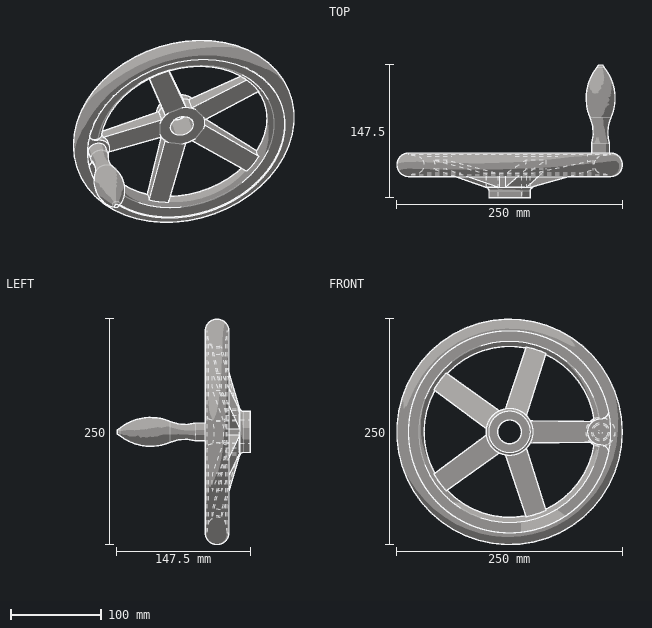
import cadquery as cq
import math

wheel_radius = 125.0
rim_seam_radius = 112.0
rim_mid_y = 36.8
rim_half_width = 13.2
rim_front_y = rim_mid_y - rim_half_width
rim_back_y = rim_mid_y + rim_half_width

rim_step_depth = 2.0
rim_cone_radius = 100.5
rim_cone_depth = 2.0
rim_core_front_y = rim_front_y + rim_step_depth
rim_core_back_y = rim_back_y - rim_step_depth
rim_inner_radius = 94.5

bore_radius = 26.0 / 2
hub_front_radius = 46.0 / 2
hub_radius = 26.0
hub_collar_length = 7.8
hub_flare_end_y = 11.5
hub_back_y = 27.0

spoke_count = 5
spoke_root_radius = 20.0
spoke_tip_radius = 97.5
spoke_root_width = 24.8
spoke_tip_width = 23.2
spoke_root_front_y = 10.8
spoke_tip_front_y = 32.5
spoke_root_back_y = 26.0
spoke_tip_back_y = 42.5

handle_x = 100.8
boss_radius = 14.2
boss_flare_radius = 9.0

handle_collar_radius = 20.0 / 2
handle_collar_end_y = 60.5
neck_y = 72.0
neck_radius = 8.2
grip_start_y = 89.0
grip_start_radius = 11.8
grip_peak_y = 111.8
grip_peak_radius = 16.2
grip_end_y = 144.5
grip_end_radius = 4.2
handle_end_y = 147.5
handle_tip_radius = 2.2


def revolve_about_y(profile):
    return profile.close().revolve(360, (0, 0, 0), (0, 1, 0))


def make_rim():
    profile = (
        cq.Workplane("XY")
        .moveTo(rim_seam_radius, rim_front_y)
        .threePointArc((wheel_radius, rim_mid_y), (rim_seam_radius, rim_back_y))
        .lineTo(rim_seam_radius, rim_core_back_y)
        .lineTo(rim_cone_radius, rim_core_back_y - rim_cone_depth)
        .threePointArc(
            (rim_inner_radius, rim_mid_y),
            (rim_cone_radius, rim_core_front_y + rim_cone_depth),
        )
        .lineTo(rim_seam_radius, rim_core_front_y)
    )
    return revolve_about_y(profile)


def make_hub():
    profile = (
        cq.Workplane("XY")
        .lineTo(hub_front_radius, 0)
        .lineTo(hub_front_radius, hub_collar_length)
        .radiusArc((hub_radius, hub_flare_end_y), hub_flare_end_y - hub_collar_length)
        .lineTo(hub_radius, hub_back_y)
        .lineTo(0, hub_back_y)
    )
    return revolve_about_y(profile)


def make_spoke(angle):
    side_outline = (
        cq.Workplane("XY")
        .polyline([
            (spoke_root_radius, spoke_root_front_y),
            (spoke_tip_radius, spoke_tip_front_y),
            (spoke_tip_radius, spoke_tip_back_y),
            (spoke_root_radius, spoke_root_back_y),
        ])
        .close()
        .extrude(spoke_root_width, both=True)
    )
    front_outline = (
        cq.Workplane("XZ")
        .polyline([
            (spoke_root_radius, -spoke_root_width / 2),
            (spoke_tip_radius, -spoke_tip_width / 2),
            (spoke_tip_radius, spoke_tip_width / 2),
            (spoke_root_radius, spoke_root_width / 2),
        ])
        .close()
        .extrude(-rim_back_y)
    )
    return side_outline.intersect(front_outline).rotate((0, 0, 0), (0, 1, 0), angle)


def make_boss():
    flare_end_x = handle_x + boss_flare_radius
    flare_end_z = boss_radius + boss_flare_radius
    mid_step = boss_flare_radius * math.sqrt(0.5)
    flare_mid_x = handle_x + mid_step
    flare_mid_z = flare_end_z - mid_step
    depth = rim_core_back_y - rim_core_front_y
    front_plane = cq.Workplane("XZ", origin=(0, rim_core_front_y, 0))
    outline = (
        front_plane
        .moveTo(handle_x, boss_radius)
        .threePointArc((handle_x - boss_radius, 0), (handle_x, -boss_radius))
        .threePointArc((flare_mid_x, -flare_mid_z), (flare_end_x, -flare_end_z))
        .lineTo(wheel_radius, -flare_end_z)
        .lineTo(wheel_radius, flare_end_z)
        .lineTo(flare_end_x, flare_end_z)
        .threePointArc((flare_mid_x, flare_mid_z), (handle_x, boss_radius))
        .close()
        .extrude(-depth)
    )
    return outline.intersect(front_plane.circle(rim_seam_radius).extrude(-depth))


def make_handle():
    profile = (
        cq.Workplane("XY")
        .moveTo(0, rim_mid_y)
        .lineTo(handle_collar_radius, rim_mid_y)
        .lineTo(handle_collar_radius, handle_collar_end_y)
        .threePointArc((neck_radius, neck_y), (grip_start_radius, grip_start_y))
        .threePointArc((grip_peak_radius, grip_peak_y), (grip_end_radius, grip_end_y))
        .lineTo(handle_tip_radius, handle_end_y)
        .lineTo(0, handle_end_y)
    )
    return revolve_about_y(profile).translate((handle_x, 0, 0))


wheel = make_rim().union(make_hub())
for index in range(spoke_count):
    wheel = wheel.union(make_spoke(index * 360 / spoke_count))
wheel = wheel.union(make_boss()).union(make_handle())

bore = cq.Workplane("XZ").circle(bore_radius).extrude(-hub_back_y)
result = wheel.cut(bore)